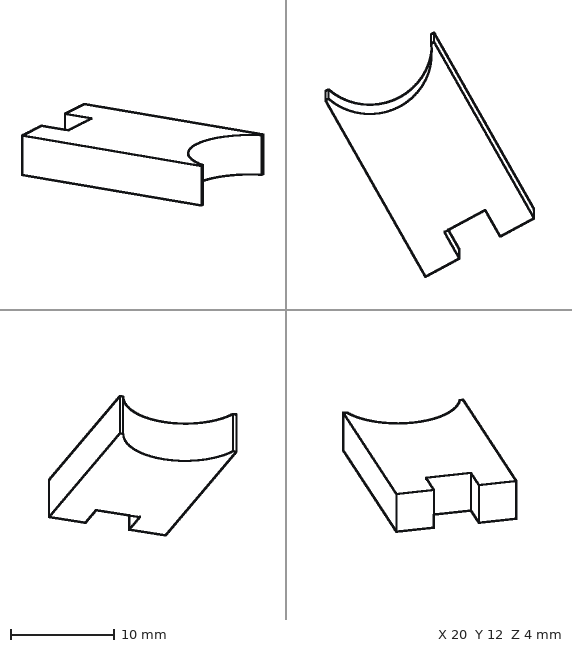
import cadquery as cq

length = 20
width = 12
thickness = 4

notch_depth = 3
notch_width = 4.5

scoop_radius = width / 2
scoop_depth = 4
scoop_center_x = length / 2 - scoop_depth + scoop_radius

block = cq.Workplane("XY").box(length, width, thickness)

notch = (
    cq.Workplane("XY")
    .box(notch_depth, notch_width, thickness)
    .translate((-length / 2 + notch_depth / 2, 0, 0))
)

scoop = (
    cq.Workplane("XY")
    .cylinder(thickness, scoop_radius)
    .translate((scoop_center_x, 0, 0))
)

result = block.cut(notch).cut(scoop)